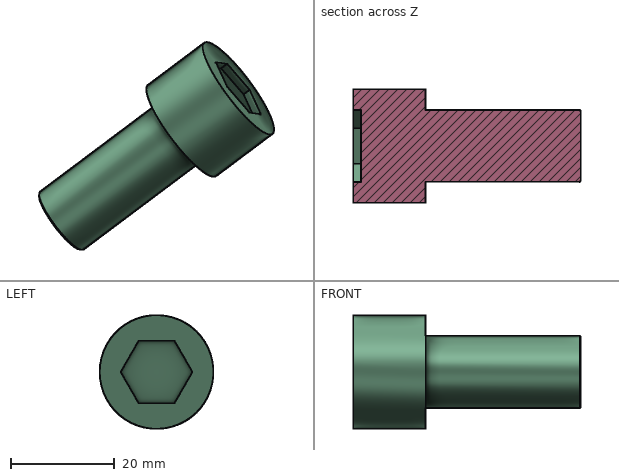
import cadquery as cq
import math

head_diameter = 22.0
head_height = 14.0
shank_diameter = 14.0
shank_length = 30.0
tip_chamfer = 0.25
hex_across_flats = 12.0
hex_depth = 1.5


def make_head():
    return cq.Workplane("YZ").circle(head_diameter / 2).extrude(head_height)


def make_shank():
    shank = (
        cq.Workplane("YZ")
        .workplane(offset=head_height)
        .circle(shank_diameter / 2)
        .extrude(shank_length)
    )
    return shank.faces(">X").edges().chamfer(tip_chamfer)


def make_hex_socket():
    hex_across_corners = hex_across_flats / math.cos(math.radians(30))
    return cq.Workplane("YZ").polygon(6, hex_across_corners).extrude(hex_depth)


result = make_head().union(make_shank()).cut(make_hex_socket())